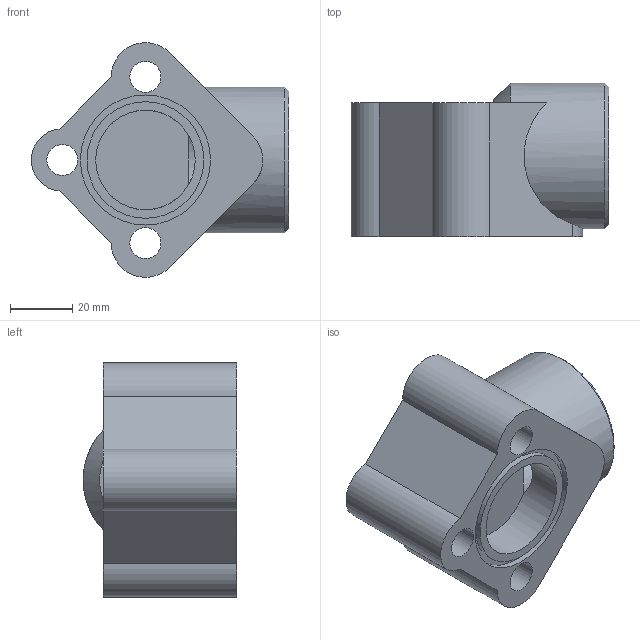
import cadquery as cq
import math

block_depth = 43.0
bolt_offset = 26.71
bolt_hole_diameter = 10.0
corner_radius = 11.0
left_lug_radius = 10.0
half_diagonal = bolt_offset + corner_radius

main_bore_radius = 16.0
main_bore_depth = 13.1
groove_inner_radius = 18.75
groove_outer_radius = 20.9
groove_depth = 2.0

barrel_radius = 23.4
barrel_axis_y = 26.0
barrel_start_x = 9.1
barrel_end_x = 46.04
barrel_start_chamfer = 5.3
barrel_end_chamfer = 1.3

side_bore_radius = 15.1
side_bore_floor_x = 13.9


def y_cylinder(radius, depth, x=0.0, z=0.0):
    """Cylinder along +Y, starting on the mounting face."""
    return cq.Workplane("XZ").center(x, z).circle(radius).extrude(-depth)


def x_cylinder(radius, start_x, end_x):
    """Cylinder on the barrel axis between two X positions."""
    return cq.Workplane("YZ", origin=(start_x, barrel_axis_y, 0)).circle(radius).extrude(end_x - start_x)


def make_block():
    tangent = corner_radius * math.sqrt(0.5)
    lug_run = (-corner_radius + math.sqrt(2 * left_lug_radius**2 - corner_radius**2)) / 2
    lug_rise = lug_run + corner_radius
    lug_x = -bolt_offset + lug_run
    return (
        cq.Workplane("XZ")
        .moveTo(-corner_radius, bolt_offset)
        .threePointArc((0, half_diagonal), (tangent, bolt_offset + tangent))
        .lineTo(bolt_offset + tangent, tangent)
        .threePointArc((half_diagonal, 0), (bolt_offset + tangent, -tangent))
        .lineTo(tangent, -bolt_offset - tangent)
        .threePointArc((0, -half_diagonal), (-corner_radius, -bolt_offset))
        .lineTo(lug_x, -lug_rise)
        .threePointArc((-bolt_offset - left_lug_radius, 0), (lug_x, lug_rise))
        .close()
        .extrude(-block_depth)
    )


def make_barrel():
    barrel = x_cylinder(barrel_radius, barrel_start_x, barrel_end_x)
    return barrel.faces("<X").chamfer(barrel_start_chamfer).faces(">X").chamfer(barrel_end_chamfer)


def cut_bolt_holes(body):
    for x, z in ((0, bolt_offset), (-bolt_offset, 0), (0, -bolt_offset)):
        body = body.cut(y_cylinder(bolt_hole_diameter / 2, block_depth, x, z))
    return body


def cut_bores(body):
    main_bore = y_cylinder(main_bore_radius, main_bore_depth)
    side_bore = x_cylinder(side_bore_radius, side_bore_floor_x, barrel_end_x)
    return body.cut(main_bore).cut(side_bore)


def cut_seal_groove(body):
    groove = y_cylinder(groove_outer_radius, groove_depth).cut(y_cylinder(groove_inner_radius, groove_depth))
    return body.cut(groove)


result = make_block().union(make_barrel())
result = cut_bolt_holes(result)
result = cut_bores(result)
result = cut_seal_groove(result)